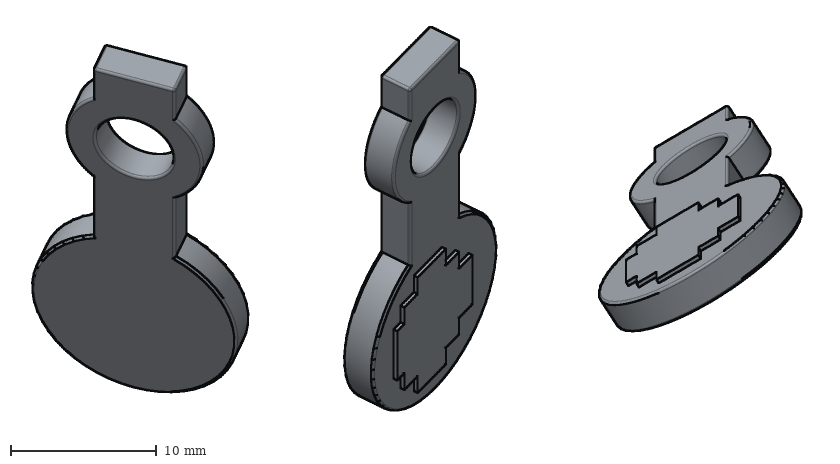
import cadquery as cq

total_height = 31.37
body_thickness = 2.5
edge_round = 0.2

disc_radius = 7.5
ring_radius = 5.0
hole_radius = 2.82
neck_width = 6.0
ring_to_top = 7.0

pad_height = 0.3
pad_step = 1.6
pad_half_height = 5.58
pad_left = -4.0
pad_right = 5.02
pad_right_shoulder = 4.17

disc_z = disc_radius
ring_z = total_height - ring_to_top


def cylinder(radius, z):
    """Round plate whose axis runs along Y, with its front face at Y = 0."""
    plane = cq.Workplane("XZ", origin=(0, 0, z))
    return plane.circle(radius).extrude(-body_thickness)


def make_body():
    """Disc, neck and ring in one plate, with its face edges and top corners rounded."""
    neck_length = total_height - disc_z
    neck = (
        cq.Workplane("XZ", origin=(0, 0, disc_z + neck_length / 2))
        .rect(neck_width, neck_length)
        .extrude(-body_thickness)
    )
    plate = cylinder(disc_radius, disc_z).union(neck).union(cylinder(ring_radius, ring_z))
    plate = plate.cut(cylinder(hole_radius, ring_z))
    face_edges = plate.faces("<Y or >Y").edges()
    top_edges = plate.faces(">Z").edges()
    return face_edges.add(top_edges).fillet(edge_round)


def pad_bar(left, right, half_height):
    """One rectangular bar of the pad, centred on the height of the disc."""
    middle = (left + right) / 2
    plane = cq.Workplane("XZ", origin=(middle, body_thickness, disc_z))
    return plane.rect(right - left, 2 * half_height).extrude(-pad_height)


def make_pad():
    """Low stepped pad on the back of the disc, built from three crossed bars."""
    tall = pad_bar(pad_left + 2 * pad_step, pad_right_shoulder - pad_step, pad_half_height)
    middle = pad_bar(pad_left + pad_step, pad_right_shoulder, pad_half_height - pad_step)
    wide = pad_bar(pad_left, pad_right, pad_half_height - 2 * pad_step)
    return tall.union(middle).union(wide)


result = make_body().union(make_pad())